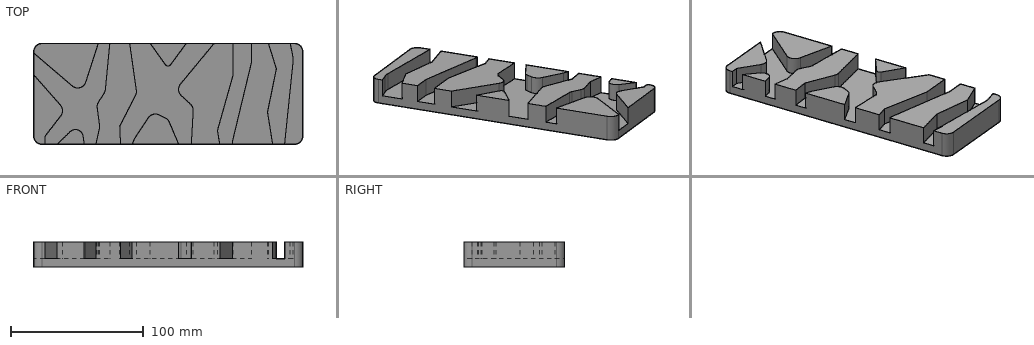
import cadquery as cq

LENGTH = 203.2
WIDTH = 76.2
HEIGHT = 19.05
FLOOR = HEIGHT / 3
CORNER_RADIUS = 6.35

LARGE = 6.35
MEDIUM = 5.8
SMALL = 2.5
WIDE = 20
SHARP = 0

BACK_LEFT_CORNER = [
    (0, WIDTH, SHARP),
    (0, 69.0, SHARP),
    (36.4, 37.9, LARGE),
    (48.8, WIDTH, SHARP),
]
LEFT_SIDE = [
    (0, 0, SHARP),
    (0, 52.6, SHARP),
    (23.7, 25.7, LARGE),
    (8.6, 6.1, SHARP),
    (8.6, 0, SHARP),
]
FRONT_LEFT_WEDGE = [
    (17.7, 0, SHARP),
    (35.8, 17.5, MEDIUM),
    (38.2, 0, SHARP),
]
LEFT_STRIP = [
    (57.5, WIDTH, SHARP),
    (54.0, 39.9, LARGE),
    (47.7, 29.9, LARGE),
    (49.9, 13.1, SHARP),
    (47.0, 0, SHARP),
    (65.6, 0, SHARP),
    (65.0, 13.7, SHARP),
    (77.8, 38.8, LARGE),
    (72.5, WIDTH, SHARP),
]
BACK_WEDGE = [
    (88.0, WIDTH, SHARP),
    (101.4, 57.4, SMALL),
    (115.2, WIDTH, SHARP),
]
FRONT_WEDGE = [
    (74.4, 0, SHARP),
    (76.3, 4.6, SHARP),
    (89.6, 24.7, LARGE),
    (101.5, 18.9, LARGE),
    (109.5, 0, SHARP),
]
MIDDLE_BLOCK = [
    (136.2, WIDTH, SHARP),
    (107.0, 40.9, LARGE),
    (120.6, 28.3, LARGE),
    (119.0, 0, SHARP),
    (140.5, 0, SHARP),
    (138.7, 10.4, SHARP),
    (150.3, 51.5, SHARP),
    (150.3, WIDTH, SHARP),
]
RIGHT_STRIP = [
    (164.3, WIDTH, SHARP),
    (164.3, 61.3, SHARP),
    (150.1, 2.4, SHARP),
    (150.1, 0, SHARP),
    (180.4, 0, SHARP),
    (176.5, 24.4, SHARP),
    (183.2, 57.0, SHARP),
    (177.2, WIDTH, SHARP),
]
RIGHT_SIDE = [
    (LENGTH, WIDTH, SHARP),
    (193.6, WIDTH, SHARP),
    (196.0, 64.6, WIDE),
    (189.4, 0, SHARP),
    (LENGTH, 0, SHARP),
]
ISLANDS = [
    BACK_LEFT_CORNER,
    LEFT_SIDE,
    FRONT_LEFT_WEDGE,
    LEFT_STRIP,
    BACK_WEDGE,
    FRONT_WEDGE,
    MIDDLE_BLOCK,
    RIGHT_STRIP,
    RIGHT_SIDE,
]


def make_block(height):
    """Rectangular block with rounded upright corners."""
    block = cq.Workplane("XY").box(LENGTH, WIDTH, height, centered=False)
    return block.edges("|Z").fillet(CORNER_RADIUS)


def make_island(outline):
    """Full-height prism of one island, with its upright edges rounded."""
    points = [(x, y) for x, y, _ in outline]
    island = cq.Workplane("XY").polyline(points).close().extrude(HEIGHT)
    for x, y, radius in outline:
        if radius > 0:
            edge = cq.NearestToPointSelector((x, y, HEIGHT / 2))
            island = island.edges("|Z").edges(edge).fillet(radius)
    return island


def make_part():
    """Channel floor plus every island, trimmed to the rounded block."""
    block = make_block(HEIGHT)
    part = make_block(FLOOR)
    for outline in ISLANDS:
        part = part.union(make_island(outline).intersect(block))
    return part.clean()


result = make_part()